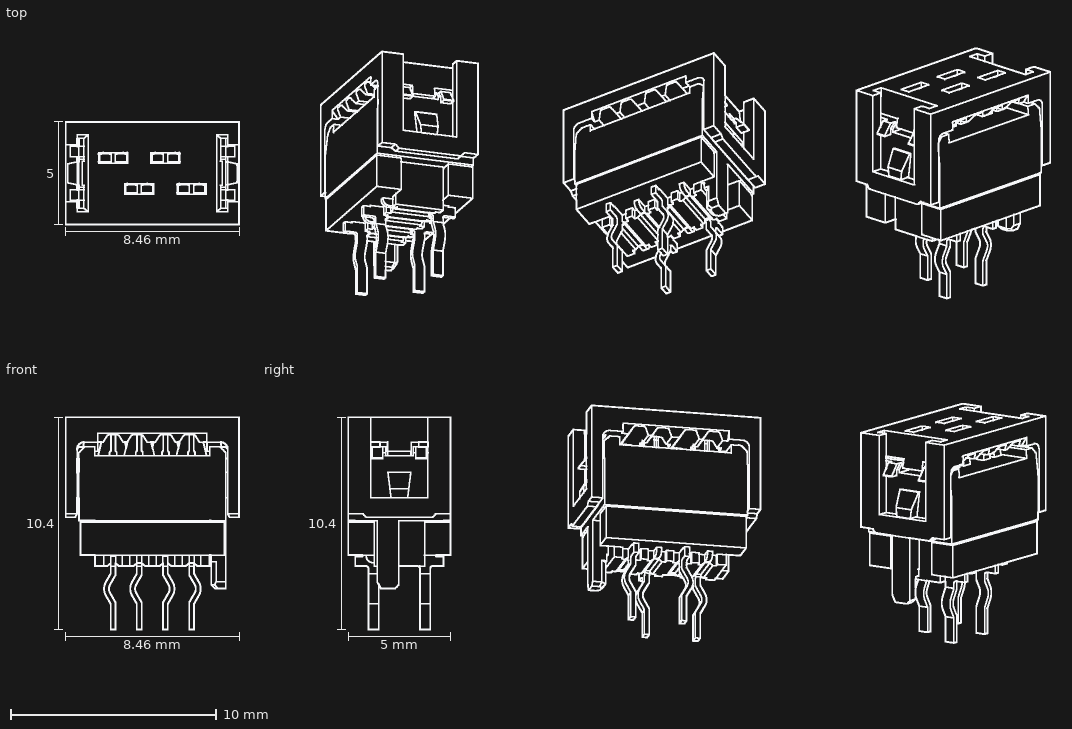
import cadquery as cq
import math

LENGTH = 8.46
WIDTH = 5.0
HEIGHT = 10.35
EPS = 0.1

PITCH = 1.27
CONTACT_XS = [(i - 1.5) * PITCH for i in range(4)]
BLADE_Y = 0.76
PIN_Y = 1.25
SHEET = 0.25
PIN_WIDTH = 0.51

UNDERSIDE_Z = 9.13
LEG_INNER_X = 3.66
LEG_BOTTOM_Z = 5.46
LEG_CORNER_Z = 5.65
LEG_TIP_HALF_Y = 1.61
LEG_LEAD_IN = 0.09
INNER_RADIUS = 0.35
WINDOW_HALF_Y = 1.39
WINDOW_SILL_Z = 6.42
SLOT_TOP_X = 3.13
SLOT_BOTTOM_X = 3.33
SLOT_TOP_HALF_Y = 1.88
SLOT_BOTTOM_HALF_Y = 1.7
STOP_HALF_Y = 0.58
STOP_BOTTOM_Z = 8.68
SLOT_SLOPE = (SLOT_BOTTOM_X - SLOT_TOP_X) / (HEIGHT - UNDERSIDE_Z)
STOP_BOTTOM_X = SLOT_BOTTOM_X + SLOT_SLOPE * (UNDERSIDE_Z - STOP_BOTTOM_Z)
CABLE_HALF_X = 2.65
CABLE_MOUTH_Z = 9.55
CABLE_LEAD_IN = 0.3
GROOVE_TOP_Z = 9.48
GROOVE_BOTTOM_HALF_X = 0.49
GROOVE_TOP_HALF_X = 0.27
GROOVE_ROUNDING = 0.12
GROOVE_OFFSET = 0.1
BLADE_SLOT_LENGTH = 1.41
BLADE_SLOT_WIDTH = 0.51

BODY_HALF_X = 3.58
BODY_BOTTOM_Z = 5.31
BODY_TOP_Z = 8.9
BODY_BEND_Z = 7.52
BODY_TOP_INSET = 0.16
BODY_CORNER = 0.29
CABLE_FLOOR_Z = 8.48
CORE_HALF_X = 2.79
CROSS_NOTCH_HALF_Y = 0.67

SMALL_LATCH_Y = 1.06
SMALL_LATCH_WIDTH = 0.51
SMALL_LATCH_TIP_X = 4.01
SMALL_LATCH_BOTTOM_Z = 8.32
SMALL_LATCH_TIP = 0.04
WEDGE_TIP_X = 4.13
WEDGE_TOP_Z = 7.67
WEDGE_KNEE_Z = 6.86
WEDGE_TOP_HALF_Y = 0.56
WEDGE_BOTTOM_HALF_Y = 0.4

PLUG_HALF_X = 3.51
PLUG_TOP_Z = 5.24
PLUG_BOTTOM_Z = 3.62
END_NOTCH_HALF_Y = 1.23
BASE_BOTTOM_Z = 3.09
NECK_HALF_Y = 2.15
RELIEF_DEPTH = 0.23
RELIEF_HALF_X = 0.46
V_NOTCH_HALF_X = 0.28
V_NOTCH_TOP_HALF_X = 0.12
V_NOTCH_HEIGHT = 0.12

KEY_INNER_X = 2.87
KEY_BOTTOM_Z = 2.0
KEY_MIN_Y = -1.09
KEY_MAX_Y = -0.02
KEY_CHAMFER_TOP_Z = 3.29
KEY_SIDE_CHAMFER = 0.25
KEY_TIP_CHAMFER = 0.19
KEY_FRONT_BEVEL = 0.34

BLADE_FOOT_HALF_X = 0.73
BLADE_THICKNESS = 0.39
BLADE_WAIST_HALF_X = 0.58
BLADE_BARB_Z = 9.26
BLADE_TIP_HALF_X = 0.65
BLADE_TIP_FLAT = 0.17
BLADE_MOUTH_Z = 9.7
SLIT_HALF_X = 0.1
SLIT_FOOT_HALF_X = 0.17
SLIT_NECK_Z = 8.71
SLIT_FOOT_Z = 8.63
PIN_KINK_ANGLE = math.radians(30)
PIN_KINK_START_Z = 1.28
PIN_KINK_MID_Z = 1.99
PIN_KINK_ARC_HALF_Z = 0.27
FOOT_OUTER_Y = 2.15
FOOT_TOP_Z = 3.57
FOOT_STEP_Y = 1.79
FOOT_TAIL_Y = -1.61
FOOT_TAIL_Z = 3.26
FOOT_TAIL_RADIUS = 0.32
FOOT_FILLET = 0.13
FOOT_ROOT_Z = PLUG_BOTTOM_Z + EPS


def block(x0, x1, y0, y1, z0, z1):
    return cq.Workplane("XY").box(x1 - x0, y1 - y0, z1 - z0, centered=False).translate((x0, y0, z0))


def prism_y(points, y0, y1):
    """Extrude an XZ outline from y0 to y1."""
    return cq.Workplane("XZ", origin=(0, y0, 0)).polyline(points).close().extrude(y0 - y1)


def prism_x(points, x0, x1):
    """Extrude a YZ outline from x0 to x1."""
    return cq.Workplane("YZ", origin=(x0, 0, 0)).polyline(points).close().extrude(x1 - x0)


def both_ends(shape):
    return shape.union(shape.mirror("YZ"))


def both_sides(shape):
    return shape.union(shape.mirror("XZ"))


def row_side(i):
    """Y sign of the blade row for contact i; its pin leaves on the other side."""
    return 1 if i % 2 == 0 else -1


def make_cap():
    half_x = LENGTH / 2
    half_y = WIDTH / 2
    cap = block(-half_x, half_x, -half_y, half_y, LEG_BOTTOM_Z, HEIGHT)
    cavity = block(-LEG_INNER_X, LEG_INNER_X, -half_y - EPS, half_y + EPS, LEG_BOTTOM_Z - EPS, UNDERSIDE_Z)
    cap = cap.cut(cavity.edges("|Y and >Z").fillet(INNER_RADIUS))

    corner_rise = LEG_CORNER_Z - LEG_BOTTOM_Z
    leg_corner = prism_x(
        [
            (LEG_TIP_HALF_Y, LEG_BOTTOM_Z),
            (LEG_TIP_HALF_Y + corner_rise, LEG_CORNER_Z),
            (half_y + EPS, LEG_CORNER_Z),
            (half_y + EPS, LEG_BOTTOM_Z - EPS),
            (LEG_TIP_HALF_Y, LEG_BOTTOM_Z - EPS),
        ],
        -half_x - EPS,
        half_x + EPS,
    )
    lead_in = prism_y(
        [
            (-LEG_INNER_X, LEG_CORNER_Z),
            (-LEG_INNER_X - LEG_LEAD_IN, LEG_BOTTOM_Z),
            (-LEG_INNER_X, LEG_BOTTOM_Z),
        ],
        -half_y,
        half_y,
    )

    window = block(-half_x - EPS, -LEG_INNER_X, -WINDOW_HALF_Y, WINDOW_HALF_Y, WINDOW_SILL_Z, HEIGHT + EPS)
    slot_top = LEG_INNER_X - SLOT_TOP_X
    slot_bottom = LEG_INNER_X - SLOT_BOTTOM_X
    slot = (
        cq.Workplane("XY", origin=(-LEG_INNER_X + slot_bottom / 2, 0, UNDERSIDE_Z))
        .rect(slot_bottom, 2 * SLOT_BOTTOM_HALF_Y)
        .workplane(offset=HEIGHT - UNDERSIDE_Z)
        .center((slot_top - slot_bottom) / 2, 0)
        .rect(slot_top, 2 * SLOT_TOP_HALF_Y)
        .loft(ruled=True)
    )
    slot_exit = block(
        -LEG_INNER_X, -SLOT_BOTTOM_X, -SLOT_BOTTOM_HALF_Y, SLOT_BOTTOM_HALF_Y,
        UNDERSIDE_Z - INNER_RADIUS, UNDERSIDE_Z,
    )
    end_cuts = window.union(slot).union(slot_exit).union(lead_in)
    cap = cap.cut(both_ends(end_cuts)).cut(both_sides(leg_corner))

    entry = prism_x(
        [
            (-half_y - EPS, CABLE_MOUTH_Z),
            (-half_y, CABLE_MOUTH_Z),
            (-half_y + CABLE_LEAD_IN, UNDERSIDE_Z),
            (-half_y - EPS, UNDERSIDE_Z),
        ],
        -CABLE_HALF_X,
        CABLE_HALF_X,
    )
    cap = cap.cut(both_sides(entry))

    for i, x in enumerate(CONTACT_XS):
        groove_x = x if row_side(i) > 0 else x - GROOVE_OFFSET
        groove = prism_y(
            [
                (groove_x - GROOVE_BOTTOM_HALF_X, UNDERSIDE_Z),
                (groove_x - GROOVE_TOP_HALF_X, GROOVE_TOP_Z),
                (groove_x + GROOVE_TOP_HALF_X, GROOVE_TOP_Z),
                (groove_x + GROOVE_BOTTOM_HALF_X, UNDERSIDE_Z),
            ],
            -half_y,
            half_y,
        )
        blade_slot = block(
            x - BLADE_SLOT_LENGTH / 2, x + BLADE_SLOT_LENGTH / 2,
            row_side(i) * BLADE_Y - BLADE_SLOT_WIDTH / 2, row_side(i) * BLADE_Y + BLADE_SLOT_WIDTH / 2,
            UNDERSIDE_Z, HEIGHT,
        )
        cap = cap.cut(groove.edges("|Y and >Z").fillet(GROOVE_ROUNDING)).cut(blade_slot)

    stop = prism_y(
        [
            (-SLOT_BOTTOM_X, UNDERSIDE_Z),
            (-STOP_BOTTOM_X, STOP_BOTTOM_Z),
            (-CABLE_HALF_X, STOP_BOTTOM_Z),
            (-CABLE_HALF_X, UNDERSIDE_Z),
        ],
        -STOP_HALF_Y,
        STOP_HALF_Y,
    )
    return cap.union(both_ends(stop))


def make_body():
    half_y = WIDTH / 2
    top_half_y = half_y - BODY_TOP_INSET
    body = prism_x(
        [
            (-half_y, BODY_BOTTOM_Z),
            (half_y, BODY_BOTTOM_Z),
            (half_y, BODY_BEND_Z),
            (top_half_y, BODY_TOP_Z),
            (-top_half_y, BODY_TOP_Z),
            (-half_y, BODY_BEND_Z),
        ],
        -BODY_HALF_X,
        BODY_HALF_X,
    )
    body = body.faces(">Z").edges("|Y").chamfer(BODY_CORNER)
    body = body.cut(block(-CORE_HALF_X, CORE_HALF_X, -half_y, half_y, CABLE_FLOOR_Z, BODY_TOP_Z))
    return body.cut(
        block(-BODY_HALF_X, BODY_HALF_X, -CROSS_NOTCH_HALF_Y, CROSS_NOTCH_HALF_Y, CABLE_FLOOR_Z, BODY_TOP_Z)
    )


def make_latches():
    root_x = -BODY_HALF_X + BODY_CORNER
    small = prism_y(
        [
            (root_x, BODY_TOP_Z),
            (-BODY_HALF_X, BODY_TOP_Z),
            (-SMALL_LATCH_TIP_X, SMALL_LATCH_BOTTOM_Z + SMALL_LATCH_TIP),
            (-SMALL_LATCH_TIP_X, SMALL_LATCH_BOTTOM_Z),
            (root_x, SMALL_LATCH_BOTTOM_Z),
        ],
        SMALL_LATCH_Y - SMALL_LATCH_WIDTH / 2,
        SMALL_LATCH_Y + SMALL_LATCH_WIDTH / 2,
    )
    wedge = prism_y(
        [
            (root_x, WEDGE_TOP_Z),
            (-LEG_INNER_X, WEDGE_TOP_Z),
            (-WEDGE_TIP_X, WEDGE_KNEE_Z),
            (-WEDGE_TIP_X, WINDOW_SILL_Z),
            (root_x, WINDOW_SILL_Z),
        ],
        -WEDGE_TOP_HALF_Y,
        WEDGE_TOP_HALF_Y,
    )
    wedge_taper = prism_x(
        [
            (-WEDGE_TOP_HALF_Y, WEDGE_TOP_Z),
            (WEDGE_TOP_HALF_Y, WEDGE_TOP_Z),
            (WEDGE_BOTTOM_HALF_Y, WINDOW_SILL_Z),
            (-WEDGE_BOTTOM_HALF_Y, WINDOW_SILL_Z),
        ],
        -WEDGE_TIP_X,
        root_x,
    )
    return both_ends(both_sides(small).union(wedge.intersect(wedge_taper)))


def make_plug():
    half_y = WIDTH / 2
    plug = block(-PLUG_HALF_X, PLUG_HALF_X, -half_y, half_y, PLUG_BOTTOM_Z, PLUG_TOP_Z)
    end_notch = block(
        -PLUG_HALF_X, -CORE_HALF_X, -END_NOTCH_HALF_Y, END_NOTCH_HALF_Y, PLUG_BOTTOM_Z, PLUG_TOP_Z
    )
    plug = plug.cut(both_ends(end_notch))
    neck = block(-CORE_HALF_X, CORE_HALF_X, -NECK_HALF_Y, NECK_HALF_Y, PLUG_BOTTOM_Z, BODY_BOTTOM_Z)
    base = block(-CORE_HALF_X, CORE_HALF_X, -END_NOTCH_HALF_Y, END_NOTCH_HALF_Y, BASE_BOTTOM_Z, PLUG_BOTTOM_Z)
    for x in CONTACT_XS:
        relief = block(
            x - RELIEF_HALF_X, x + RELIEF_HALF_X,
            -END_NOTCH_HALF_Y, -END_NOTCH_HALF_Y + RELIEF_DEPTH,
            BASE_BOTTOM_Z, PLUG_BOTTOM_Z,
        )
        v_notch = prism_y(
            [
                (x - V_NOTCH_HALF_X, BASE_BOTTOM_Z),
                (x - V_NOTCH_TOP_HALF_X, BASE_BOTTOM_Z + V_NOTCH_HEIGHT),
                (x + V_NOTCH_TOP_HALF_X, BASE_BOTTOM_Z + V_NOTCH_HEIGHT),
                (x + V_NOTCH_HALF_X, BASE_BOTTOM_Z),
            ],
            -END_NOTCH_HALF_Y,
            END_NOTCH_HALF_Y,
        )
        base = base.cut(both_sides(relief)).cut(v_notch)
    return plug.union(neck).union(base)


def make_key():
    post = block(KEY_INNER_X, BODY_HALF_X, KEY_MIN_Y, KEY_MAX_Y, KEY_BOTTOM_Z, KEY_CHAMFER_TOP_Z)
    post = post.edges("|Z and <X").chamfer(KEY_SIDE_CHAMFER)
    post = post.faces("<Z").edges("not(>X)").chamfer(KEY_TIP_CHAMFER)
    front_bevel = prism_x(
        [
            (KEY_MIN_Y, KEY_BOTTOM_Z + KEY_FRONT_BEVEL),
            (KEY_MIN_Y + KEY_TIP_CHAMFER, KEY_BOTTOM_Z),
            (KEY_MIN_Y, KEY_BOTTOM_Z),
        ],
        KEY_INNER_X,
        BODY_HALF_X,
    )
    post = post.cut(front_bevel)
    root = block(KEY_INNER_X, BODY_HALF_X, KEY_MIN_Y, KEY_MAX_Y, KEY_CHAMFER_TOP_Z, BODY_BOTTOM_Z)
    bridge = block(CORE_HALF_X, KEY_INNER_X, KEY_MIN_Y, KEY_MAX_Y, PLUG_BOTTOM_Z, PLUG_TOP_Z)
    return post.union(root).union(bridge)


def make_blade():
    """Forked blade in the XZ plane with rounded lead-ins to its slit, centred on the origin in X and Y."""
    lead_in_x = BLADE_TIP_HALF_X - BLADE_TIP_FLAT
    lead_in_radius = lead_in_x - SLIT_HALF_X
    blade_top_z = BLADE_MOUTH_Z + lead_in_radius
    arc_inset = lead_in_radius * math.sqrt(0.5)
    tine = (
        cq.Workplane("XZ", origin=(0, BLADE_THICKNESS / 2, 0))
        .moveTo(SLIT_FOOT_HALF_X, CABLE_FLOOR_Z)
        .lineTo(BLADE_FOOT_HALF_X, CABLE_FLOOR_Z)
        .lineTo(BLADE_WAIST_HALF_X, UNDERSIDE_Z)
        .lineTo(BLADE_TIP_HALF_X, BLADE_BARB_Z)
        .lineTo(BLADE_TIP_HALF_X, blade_top_z)
        .lineTo(lead_in_x, blade_top_z)
        .threePointArc((lead_in_x - arc_inset, BLADE_MOUTH_Z + arc_inset), (SLIT_HALF_X, BLADE_MOUTH_Z))
        .lineTo(SLIT_HALF_X, SLIT_NECK_Z)
        .lineTo(SLIT_FOOT_HALF_X, SLIT_FOOT_Z)
        .close()
        .extrude(BLADE_THICKNESS)
    )
    return both_ends(tine)


def make_pin():
    """Pin at positive Y with a rounded kink towards +X, hanging from a foot that crosses the base."""
    arc_low_z = PIN_KINK_MID_Z - PIN_KINK_ARC_HALF_Z
    arc_high_z = PIN_KINK_MID_Z + PIN_KINK_ARC_HALF_Z
    kink_end_z = 2 * PIN_KINK_MID_Z - PIN_KINK_START_Z
    arc_end_x = (arc_low_z - PIN_KINK_START_Z) * math.tan(PIN_KINK_ANGLE)
    apex_x = arc_end_x + PIN_KINK_ARC_HALF_Z * math.tan(PIN_KINK_ANGLE / 2)
    path = (
        cq.Workplane("XZ", origin=(0, PIN_Y, 0))
        .moveTo(0, 0)
        .lineTo(0, PIN_KINK_START_Z)
        .lineTo(arc_end_x, arc_low_z)
        .threePointArc((apex_x, PIN_KINK_MID_Z), (arc_end_x, arc_high_z))
        .lineTo(0, kink_end_z)
        .lineTo(0, BASE_BOTTOM_Z)
    )
    pin = cq.Workplane("XY", origin=(0, PIN_Y, 0)).rect(SHEET, PIN_WIDTH).sweep(path, transition="round")

    pin_outer_y = PIN_Y + PIN_WIDTH / 2
    pin_inner_y = PIN_Y - PIN_WIDTH / 2
    fillet_z = BASE_BOTTOM_Z - FOOT_FILLET
    fillet_inset = FOOT_FILLET * (1 - math.sqrt(0.5))
    tail_inset = FOOT_TAIL_RADIUS * (1 - math.sqrt(0.5))
    foot = (
        cq.Workplane("YZ", origin=(-SHEET / 2, 0, 0))
        .moveTo(FOOT_OUTER_Y, FOOT_TOP_Z)
        .lineTo(FOOT_OUTER_Y, BASE_BOTTOM_Z)
        .lineTo(pin_outer_y + FOOT_FILLET, BASE_BOTTOM_Z)
        .threePointArc((pin_outer_y + fillet_inset, BASE_BOTTOM_Z - fillet_inset), (pin_outer_y, fillet_z))
        .lineTo(pin_inner_y, fillet_z)
        .threePointArc(
            (pin_inner_y - fillet_inset, BASE_BOTTOM_Z - fillet_inset),
            (pin_inner_y - FOOT_FILLET, BASE_BOTTOM_Z),
        )
        .lineTo(pin_inner_y - FOOT_FILLET, FOOT_TAIL_Z)
        .lineTo(FOOT_TAIL_Y + FOOT_TAIL_RADIUS, FOOT_TAIL_Z)
        .threePointArc(
            (FOOT_TAIL_Y + tail_inset, FOOT_TAIL_Z + tail_inset),
            (FOOT_TAIL_Y, FOOT_TAIL_Z + FOOT_TAIL_RADIUS),
        )
        .lineTo(FOOT_TAIL_Y, FOOT_ROOT_Z)
        .lineTo(FOOT_STEP_Y, FOOT_ROOT_Z)
        .lineTo(FOOT_STEP_Y, FOOT_TOP_Z)
        .close()
        .extrude(SHEET)
    )
    return pin.union(foot)


result = make_cap().union(make_body()).union(make_latches()).union(make_plug()).union(make_key())
blade = make_blade()
for i, x in enumerate(CONTACT_XS):
    pin = make_pin()
    if x < 0:
        pin = pin.mirror("YZ")
    if row_side(i) > 0:
        pin = pin.mirror("XZ")
    result = result.union(blade.translate((x, row_side(i) * BLADE_Y, 0)))
    result = result.union(pin.translate((x, 0, 0)))